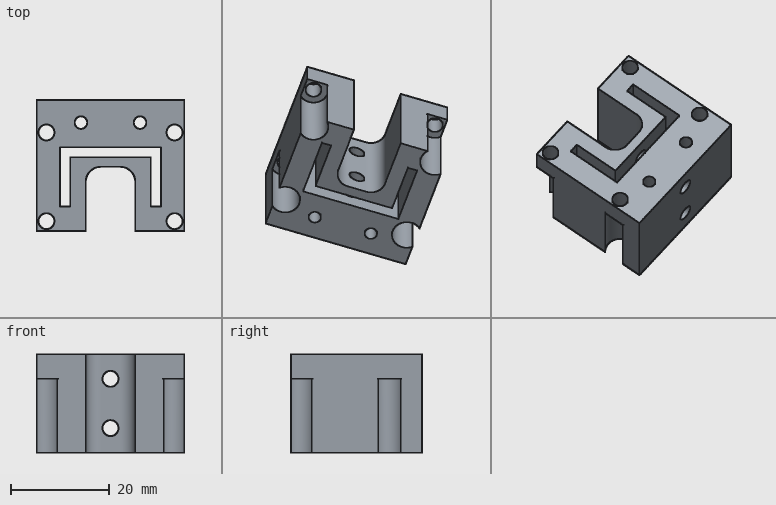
import cadquery as cq

width = 30.0
depth = 26.6
height = 20.0

channel_width = 10.0
channel_depth = 13.0
channel_corner_radius = 3.0

slot_gap = 2.0
slot_outer_width = 20.4
slot_inner_width = slot_outer_width - 2 * slot_gap
slot_front_y = 5.0
slot_inner_y = 15.0
slot_outer_y = slot_inner_y + slot_gap

screw_diameter = 3.2
screw_head_diameter = 6.0
screw_flange_thickness = 5.0
screw_edge_offset = 2.0
screw_spacing_y = 18.0

pin_diameter = 2.5
pin_spacing = 12.0
pin_y = 22.0

cross_diameter = 3.2
cross_spacing = 10.0
cross_middle_z = height / 2


def vertical_cylinder(x, y, diameter, length):
    """Upright cylinder standing on the bottom plane."""
    return cq.Workplane("XY").center(x, y).circle(diameter / 2).extrude(length)


def front_box(box_width, y_start, y_end):
    """Full-height box centred on X between two Y positions."""
    return (
        cq.Workplane("XY")
        .center(0, (y_start + y_end) / 2)
        .rect(box_width, y_end - y_start)
        .extrude(height)
    )


def channel():
    return front_box(channel_width, 0, channel_depth).edges("|Z and >Y").fillet(channel_corner_radius)


def wrap_slot():
    outer = front_box(slot_outer_width, slot_front_y, slot_outer_y)
    inner = front_box(slot_inner_width, slot_front_y, slot_inner_y)
    return outer.cut(inner)


def cut_screw_holes(body):
    screw_x = width / 2 - screw_edge_offset
    counterbore_depth = height - screw_flange_thickness
    for x in (-screw_x, screw_x):
        for y in (screw_edge_offset, screw_edge_offset + screw_spacing_y):
            body = body.cut(vertical_cylinder(x, y, screw_diameter, height))
            body = body.cut(vertical_cylinder(x, y, screw_head_diameter, counterbore_depth))
    return body


def cut_pin_holes(body):
    for x in (-pin_spacing / 2, pin_spacing / 2):
        body = body.cut(vertical_cylinder(x, pin_y, pin_diameter, height))
    return body


def cut_cross_holes(body):
    for z in (cross_middle_z - cross_spacing / 2, cross_middle_z + cross_spacing / 2):
        hole = cq.Workplane("XZ").center(0, z).circle(cross_diameter / 2).extrude(-depth)
        body = body.cut(hole)
    return body


result = front_box(width, 0, depth)
result = result.cut(channel())
result = result.cut(wrap_slot())
result = cut_screw_holes(result)
result = cut_pin_holes(result)
result = cut_cross_holes(result)